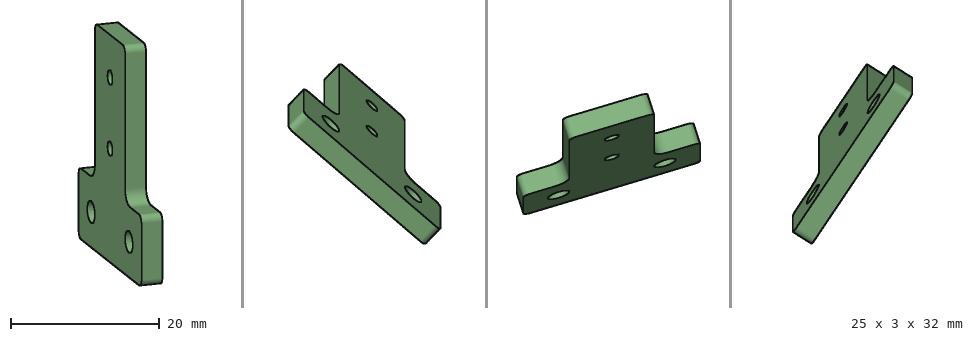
import cadquery as cq

height = 32.0
base_width = 25.0
thickness = 3.0

base_height = 10.0
stem_width = 12.0
corner_radius = 1.0
inner_radius = 2 * corner_radius

stem_hole_diameter = 2.0
stem_hole_heights = (height / 2, 26.0)
base_hole_diameter = 3.0
base_hole_spacing = 15.0
base_hole_height = base_height / 2


def block(width, block_height):
    """Upright block standing on Z = 0, centred on X and Y."""
    return cq.Workplane("XY").box(width, thickness, block_height, centered=(True, True, False))


def drill(body, diameter, centres):
    """Cut through holes along Y at the given (x, z) centres."""
    cutters = (
        cq.Workplane("XZ", origin=(0, thickness / 2, 0))
        .pushPoints(centres)
        .circle(diameter / 2)
        .extrude(thickness)
    )
    return body.cut(cutters)


plate = block(base_width, base_height).union(block(stem_width, height))

pick_margin = 0.32
inner_corners = cq.selectors.BoxSelector(
    (-stem_width / 2 - pick_margin, -thickness, base_height - pick_margin),
    (stem_width / 2 + pick_margin, thickness, base_height + pick_margin),
)
plate = plate.edges("|Y").edges(inner_corners).fillet(inner_radius)

for corner_width, corner_height in ((base_width, 0), (base_width, base_height), (stem_width, height)):
    for side in (-1, 1):
        corner = cq.selectors.NearestToPointSelector((side * corner_width / 2, 0, corner_height))
        plate = plate.edges("|Y").edges(corner).fillet(corner_radius)

plate = drill(plate, stem_hole_diameter, [(0, z) for z in stem_hole_heights])
plate = drill(
    plate,
    base_hole_diameter,
    [(side * base_hole_spacing / 2, base_hole_height) for side in (-1, 1)],
)

result = plate